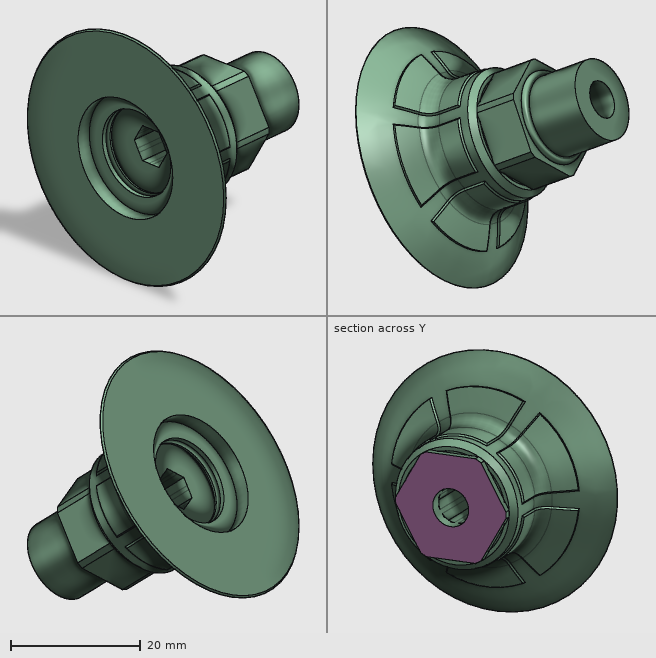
import cadquery as cq
import math


RIM_RADIUS = 21.0
RIM_EDGE_Y = 0.315
RIM_BEVEL = 0.25
SKIRT_TOP_ANGLE = 24.0
NECK_RADIUS = 10.5
NECK_BOTTOM_Y = 8.35
NECK_FILLET = 3.02
CUP_TOP_Y = 15.0
CUP_TOP_CHAMFER = 1.0

PAD_COUNT = 6
PAD_SPAN = 50.0
PAD_HEIGHT = 0.275
PAD_BEVEL = 0.3
PAD_ROOT = 0.25
PAD_TOP_Y = 12.47
PAD_BOTTOM_RADIUS = 16.1

RECESS_RADIUS = 10.0
RECESS_DEPTH = 2.5
LIP_HOLE_RADIUS = 7.22
LIP_THICKNESS = 0.8
BORE_RADIUS = 8.8

RING_FRONT_Y = 4.15
RING_THICKNESS = 0.35
RING_HOLE_RADIUS = 7.15

HEAD_FRONT_Y = 5.7
HEAD_FILLET = 0.67
HEX_ACROSS_FLATS = 16.95
HEX_CORNER_RADIUS = 9.5
HEX_TOP_Y = 22.3
PIPE_RADIUS = 6.6
PIPE_TOP_Y = 32.2
SOCKET_ACROSS_FLATS = 6.0
SOCKET_DEPTH = 8.4
PASSAGE_RADIUS = 3.02

SEAL_RADIUS = 7.6
SEAL_HEIGHT = 0.8
SEAL_FILLET = 0.75


def revolve_about_y(outline, angle=360.0):
    """Turn a closed outline drawn in the XY plane about the Y axis."""
    return outline.close().revolve(angle, (0, 0, 0), (0, 1, 0))


def cylinder(radius, y_start, y_end):
    """Solid cylinder along the Y axis."""
    return cq.Workplane("XZ", origin=(0, y_start, 0)).circle(radius).extrude(y_start - y_end)


def hexagon(across_flats, y_start, y_end):
    """Hexagonal prism along the Y axis with two corners on the X axis."""
    across_corners = across_flats / math.cos(math.radians(30))
    return cq.Workplane("XZ", origin=(0, y_start, 0)).polygon(6, across_corners).extrude(y_start - y_end)


NECK_CENTRE = (NECK_RADIUS + NECK_FILLET, NECK_BOTTOM_Y)


def neck_point(slope, offset):
    """Point of the neck fillet where its slope is given, moved outward by the offset."""
    radius = NECK_FILLET - offset
    angle = math.radians(slope)
    return (NECK_CENTRE[0] - radius * math.sin(angle), NECK_CENTRE[1] - radius * math.cos(angle))


SKIRT_TOP = neck_point(SKIRT_TOP_ANGLE, 0)
SKIRT_RUN = RIM_RADIUS - SKIRT_TOP[0]
SKIRT_DROP = SKIRT_TOP[1] - RIM_EDGE_Y
SKIRT_CHORD_ANGLE = math.degrees(math.atan2(SKIRT_DROP, SKIRT_RUN))
SKIRT_HALF_TURN = SKIRT_CHORD_ANGLE - SKIRT_TOP_ANGLE
SKIRT_ARC_RADIUS = math.hypot(SKIRT_RUN, SKIRT_DROP) / (2 * math.sin(math.radians(SKIRT_HALF_TURN)))
SKIRT_CENTRE = (
    SKIRT_TOP[0] - SKIRT_ARC_RADIUS * math.sin(math.radians(SKIRT_TOP_ANGLE)),
    SKIRT_TOP[1] - SKIRT_ARC_RADIUS * math.cos(math.radians(SKIRT_TOP_ANGLE)),
)


def skirt_point(slope, offset):
    """Point of the skirt arc where its slope is given, moved outward by the offset."""
    radius = SKIRT_ARC_RADIUS + offset
    angle = math.radians(slope)
    return (SKIRT_CENTRE[0] + radius * math.sin(angle), SKIRT_CENTRE[1] + radius * math.cos(angle))


def skirt_slope(radius_about_y, offset):
    """Slope of the offset skirt arc, in degrees, at a distance from the Y axis."""
    return math.degrees(math.asin((radius_about_y - SKIRT_CENTRE[0]) / (SKIRT_ARC_RADIUS + offset)))


NECK_MID_SLOPE = (90 + SKIRT_TOP_ANGLE) / 2


def make_cup_blank():
    """Solid cup without pads or openings."""
    outline = (
        cq.Workplane("XY")
        .moveTo(0, 0)
        .lineTo(RIM_RADIUS - RIM_BEVEL, 0)
        .lineTo(RIM_RADIUS, RIM_EDGE_Y)
        .threePointArc(skirt_point(SKIRT_CHORD_ANGLE, 0), SKIRT_TOP)
        .threePointArc(neck_point(NECK_MID_SLOPE, 0), (NECK_RADIUS, NECK_BOTTOM_Y))
        .lineTo(NECK_RADIUS, CUP_TOP_Y - CUP_TOP_CHAMFER)
        .lineTo(NECK_RADIUS - CUP_TOP_CHAMFER, CUP_TOP_Y)
        .lineTo(0, CUP_TOP_Y)
    )
    return revolve_about_y(outline)


def make_pad():
    """One pad: a shell over neck and skirt with bevelled top and sides, centred on the +Z axis."""
    outer_end_slope = skirt_slope(PAD_BOTTOM_RADIUS, PAD_HEIGHT)
    inner_end_slope = skirt_slope(PAD_BOTTOM_RADIUS, -PAD_ROOT)
    outer_mid_slope = (SKIRT_TOP_ANGLE + outer_end_slope) / 2
    inner_mid_slope = (SKIRT_TOP_ANGLE + inner_end_slope) / 2
    outer_neck = NECK_RADIUS + PAD_HEIGHT
    inner_neck = NECK_RADIUS - PAD_ROOT
    outline = (
        cq.Workplane("XY")
        .moveTo(inner_neck, PAD_TOP_Y)
        .lineTo(outer_neck, PAD_TOP_Y)
        .lineTo(outer_neck, NECK_BOTTOM_Y)
        .threePointArc(neck_point(NECK_MID_SLOPE, PAD_HEIGHT), neck_point(SKIRT_TOP_ANGLE, PAD_HEIGHT))
        .threePointArc(skirt_point(outer_mid_slope, PAD_HEIGHT), skirt_point(outer_end_slope, PAD_HEIGHT))
        .lineTo(*skirt_point(inner_end_slope, -PAD_ROOT))
        .threePointArc(skirt_point(inner_mid_slope, -PAD_ROOT), neck_point(SKIRT_TOP_ANGLE, -PAD_ROOT))
        .threePointArc(neck_point(NECK_MID_SLOPE, -PAD_ROOT), (inner_neck, NECK_BOTTOM_Y))
    )
    pad = revolve_about_y(outline, PAD_SPAN)
    pad = pad.rotate((0, 0, 0), (0, 1, 0), -PAD_SPAN / 2 - 90)
    return pad.newObject(bevelled_edges(pad)).chamfer(PAD_BEVEL)


def bevelled_edges(pad):
    """Top and side edges of the outer skin of a pad that lies across the +Z axis."""
    cup = make_cup_blank().val()
    outer_edges = [edge for edge in pad.edges().vals() if edge.distance(cup) > PAD_HEIGHT / 2]
    highest_y = max(edge.Center().y for edge in outer_edges)
    return [edge for edge in outer_edges if abs(edge.Center().x) > PAD_HEIGHT or edge.Center().y == highest_y]


def make_cup():
    """Rubber suction cup with its pads, front recess, lip and bore."""
    cup = make_cup_blank()
    pad = make_pad()
    for index in range(PAD_COUNT):
        cup = cup.union(pad.rotate((0, 0, 0), (0, 1, 0), index * 360 / PAD_COUNT))
    lip_back_y = RECESS_DEPTH + LIP_THICKNESS
    cup = cup.cut(cylinder(RECESS_RADIUS, 0, RECESS_DEPTH))
    cup = cup.cut(cylinder(LIP_HOLE_RADIUS, RECESS_DEPTH, lip_back_y))
    return cup.cut(cylinder(BORE_RADIUS, lip_back_y, CUP_TOP_Y))


def make_retaining_ring():
    """Thin flat ring in the bore of the cup, in front of the fitting."""
    ring_back_y = RING_FRONT_Y + RING_THICKNESS
    ring = cylinder(BORE_RADIUS, RING_FRONT_Y, ring_back_y)
    return ring.cut(cylinder(RING_HOLE_RADIUS, RING_FRONT_Y, ring_back_y))


def make_fitting():
    """Hollow fitting: round head in the cup, then hexagon and pipe."""
    head = cylinder(BORE_RADIUS, HEAD_FRONT_Y, CUP_TOP_Y).faces("<Y").edges().fillet(HEAD_FILLET)
    hex_corners = cylinder(HEX_CORNER_RADIUS, CUP_TOP_Y, HEX_TOP_Y)
    nut = hexagon(HEX_ACROSS_FLATS, CUP_TOP_Y, HEX_TOP_Y).intersect(hex_corners)
    pipe = cylinder(PIPE_RADIUS, HEX_TOP_Y, PIPE_TOP_Y)
    fitting = head.union(nut).union(pipe)
    fitting = fitting.cut(hexagon(SOCKET_ACROSS_FLATS, HEAD_FRONT_Y, HEAD_FRONT_Y + SOCKET_DEPTH))
    return fitting.cut(cylinder(PASSAGE_RADIUS, HEAD_FRONT_Y, PIPE_TOP_Y))


def make_seal():
    """Seal ring around the pipe, resting on the hexagon, with a rounded outer edge."""
    seal_top_y = HEX_TOP_Y + SEAL_HEIGHT
    seal = cylinder(SEAL_RADIUS, HEX_TOP_Y, seal_top_y).faces(">Y").edges().fillet(SEAL_FILLET)
    return seal.cut(cylinder(PIPE_RADIUS, HEX_TOP_Y, seal_top_y))


cup = make_cup()
retaining_ring = make_retaining_ring()
fitting = make_fitting()
seal = make_seal()

result = cq.Compound.makeCompound([cup.val(), retaining_ring.val(), fitting.val(), seal.val()])